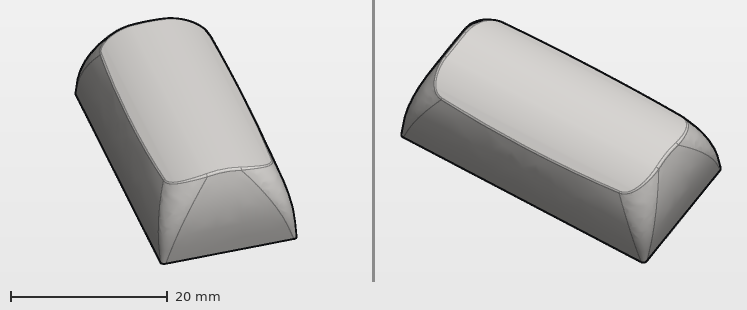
import cadquery as cq
import math

length = 37.28
width = 18.23
height = 11.37

straight_height = 2.25
wall_radius = 17.9

crown_radius = 15.3

rim_fillet = 0.45

base_corner_radius = 0.52
corner_growth = 0.34

long_side_bulge = 0.75
short_side_bulge = 0.2
base_bulge = 0.005

section_count = 7
trim_allowance = 0.37
loft_height = height + trim_allowance


def wall_inset(z):
    """Distance the wall has moved inward at height z."""
    rise = max(z - straight_height, 0.0)
    return wall_radius - math.sqrt(wall_radius**2 - rise**2)


def bulge_at(z, top_bulge):
    """Outward bow of a side at height z, growing with the square of the height."""
    return max(top_bulge * (z / height) ** 2, base_bulge)


def body_section(z):
    """Rounded outline of the body at height z, with bulged sides."""
    half_x = length / 2 - wall_inset(z)
    half_y = width / 2 - wall_inset(z)
    corner_x = half_x - bulge_at(z, short_side_bulge)
    corner_y = half_y - bulge_at(z, long_side_bulge)
    outline = (
        cq.Workplane("XY", origin=(0, 0, z))
        .moveTo(-corner_x, -corner_y)
        .threePointArc((0, -half_y), (corner_x, -corner_y))
        .threePointArc((half_x, 0), (corner_x, corner_y))
        .threePointArc((0, half_y), (-corner_x, corner_y))
        .threePointArc((-half_x, 0), (-corner_x, -corner_y))
        .wire()
    )
    face = cq.Face.makeFromWires(outline.val())
    corner_radius = base_corner_radius + corner_growth * z
    return face.fillet2D(corner_radius, face.Vertices()).outerWire()


def make_body():
    """Smooth loft through outlines at evenly spaced heights."""
    heights = [loft_height * i / (section_count - 1) for i in range(section_count)]
    return cq.Workplane(cq.Solid.makeLoft([body_section(z) for z in heights]))


def make_crown():
    """Cylinder along X whose top line sets the overall height."""
    return (
        cq.Workplane("YZ")
        .center(0, height - crown_radius)
        .circle(crown_radius)
        .extrude(length, both=True)
    )


result = make_body().intersect(make_crown())
result = result.faces(">Z").edges().fillet(rim_fillet)